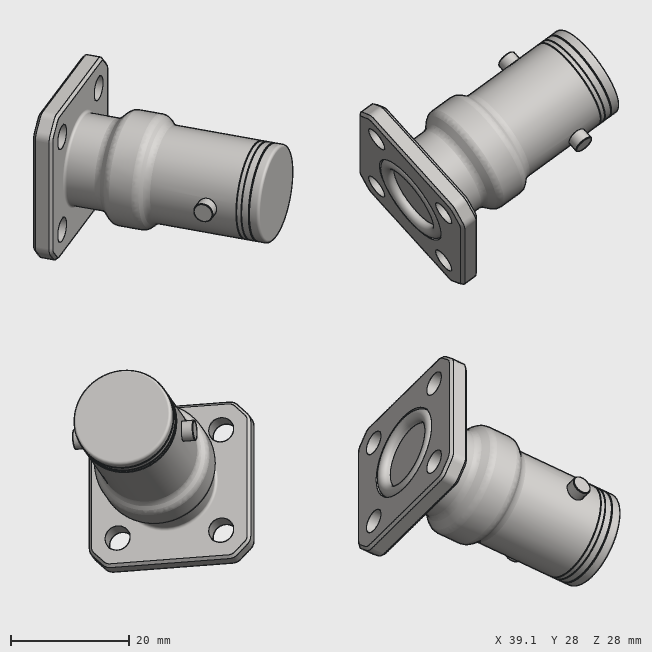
import cadquery as cq
import math

TOTAL_LENGTH = 39.13

FLANGE_SIDE = 28.0
FLANGE_BACK_X = 0.35
FLANGE_THICKNESS = 3.5
FLANGE_FRONT_X = FLANGE_BACK_X + FLANGE_THICKNESS
CORNER_CUT = 2.9
CORNER_ROUND = 2.0
EDGE_CHAMFER = 0.5
BOLT_SPACING = 17.95
BOLT_HOLE_DIAMETER = 4.3

RING_WIRE_RADIUS = 1.1
RING_MEAN_RADIUS = 7.1
POCKET_RADIUS = 8.25
POCKET_FLOOR_X = 1.7

NECK_RADIUS = 8.0
NECK_FILLET = 0.5
COLLAR_RADIUS = 9.98
COLLAR_START_X = 12.0
COLLAR_END_X = 17.37
BARREL_RADIUS = 8.5
COLLAR_SLOPE = 45.0
COLLAR_ROUND = 1.6
BARREL_END_ROUND = 0.5

BARREL_GROOVES = [(35.0, 0.1), (35.9, 0.1), (37.25, 0.2)]
GROOVE_DEPTH = 0.08

PIN_X = 29.75
PIN_DIAMETER = 3.45
PIN_TIP_Y = 10.45
PIN_CHAMFER = 0.1


def disc(x_start, x_end, radius):
    """Cylinder about the X axis between two X positions."""
    return cq.Workplane("YZ", origin=(x_start, 0, 0)).circle(radius).extrude(x_end - x_start)


def make_flange():
    plate = cq.Workplane("YZ", origin=(FLANGE_BACK_X, 0, 0)).rect(FLANGE_SIDE, FLANGE_SIDE)
    plate = plate.extrude(FLANGE_THICKNESS)
    plate = plate.edges("|X").chamfer(CORNER_CUT)
    plate = plate.edges("|X").fillet(CORNER_ROUND)
    plate = plate.faces("<X or >X").chamfer(EDGE_CHAMFER)
    bolt_holes = (
        cq.Workplane("YZ")
        .rect(BOLT_SPACING, BOLT_SPACING, forConstruction=True)
        .vertices()
        .circle(BOLT_HOLE_DIAMETER / 2)
        .extrude(FLANGE_FRONT_X)
    )
    return plate.cut(bolt_holes)


def make_turned_body():
    slope = math.tan(math.radians(COLLAR_SLOPE))
    neck_end_x = COLLAR_START_X - (COLLAR_RADIUS - NECK_RADIUS) / slope
    barrel_start_x = COLLAR_END_X + (COLLAR_RADIUS - BARREL_RADIUS) / slope
    outline = [
        (FLANGE_FRONT_X, 0),
        (FLANGE_FRONT_X, NECK_RADIUS),
        (neck_end_x, NECK_RADIUS),
        (COLLAR_START_X, COLLAR_RADIUS),
        (COLLAR_END_X, COLLAR_RADIUS),
        (barrel_start_x, BARREL_RADIUS),
        (TOTAL_LENGTH, BARREL_RADIUS),
        (TOTAL_LENGTH, 0),
    ]
    body = cq.Workplane("XY").polyline(outline).close().revolve(360, (0, 0, 0), (1, 0, 0))
    collar_edges = cq.selectors.BoxSelector(
        (FLANGE_FRONT_X + NECK_FILLET, -FLANGE_SIDE, -FLANGE_SIDE),
        (PIN_X, FLANGE_SIDE, FLANGE_SIDE),
    )
    body = body.edges("%CIRCLE").edges(collar_edges).fillet(COLLAR_ROUND)
    return body.faces(">X").edges().fillet(BARREL_END_ROUND)


def cut_barrel_grooves(body):
    for centre_x, width in BARREL_GROOVES:
        start_x = centre_x - width / 2
        end_x = centre_x + width / 2
        groove = disc(start_x, end_x, COLLAR_RADIUS)
        groove = groove.cut(disc(start_x, end_x, BARREL_RADIUS - GROOVE_DEPTH))
        body = body.cut(groove)
    return body


def make_neck_fillet():
    """Ring with a concave quarter-round face joining the neck to the flange."""
    root_radius = NECK_RADIUS + NECK_FILLET
    middle = NECK_FILLET * (1 - math.sqrt(0.5))
    return (
        cq.Workplane("XY")
        .moveTo(FLANGE_FRONT_X, NECK_RADIUS)
        .lineTo(FLANGE_FRONT_X, root_radius)
        .threePointArc(
            (FLANGE_FRONT_X + middle, NECK_RADIUS + middle),
            (FLANGE_FRONT_X + NECK_FILLET, NECK_RADIUS),
        )
        .close()
        .revolve(360, (0, 0, 0), (1, 0, 0))
    )


def make_pins():
    pins = cq.Workplane("XZ", origin=(PIN_X, 0, 0)).circle(PIN_DIAMETER / 2)
    pins = pins.extrude(PIN_TIP_Y, both=True)
    return pins.faces("<Y or >Y").chamfer(PIN_CHAMFER)


def make_seal_ring():
    """Seal ring with a half-round crown, standing on the pocket floor."""
    inner_radius = RING_MEAN_RADIUS - RING_WIRE_RADIUS
    outer_radius = RING_MEAN_RADIUS + RING_WIRE_RADIUS
    return (
        cq.Workplane("XY")
        .moveTo(POCKET_FLOOR_X, inner_radius)
        .lineTo(RING_WIRE_RADIUS, inner_radius)
        .threePointArc((0, RING_MEAN_RADIUS), (RING_WIRE_RADIUS, outer_radius))
        .lineTo(POCKET_FLOOR_X, outer_radius)
        .close()
        .revolve(360, (0, 0, 0), (1, 0, 0))
    )


pocket = disc(0, POCKET_FLOOR_X, POCKET_RADIUS)
flange = make_flange().cut(pocket).union(make_seal_ring())
body = cut_barrel_grooves(make_turned_body())
result = flange.union(body).union(make_neck_fillet()).union(make_pins())